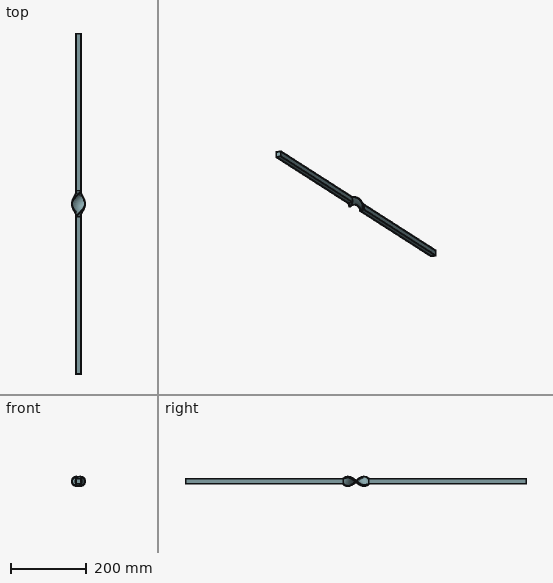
import cadquery as cq

BAR_LENGTH = 900.0
BAR_SIDE = 14.0

LEAF_HALF_LENGTH = 34.0
LEAF_WIDTH = 35.0
LEAF_THICKNESS = 3.5
HALF_TWIST = 90.0
WIDTH_POWER = 2
THICKNESS_POWER = 3
STATIONS_PER_HALF = 3


def blended_size(middle_size, position, power):
    """Size that equals middle_size at position 0 and the bar side at positions -1 and 1."""
    return middle_size + (BAR_SIDE - middle_size) * abs(position) ** power


def leaf_section(position):
    """Turned rectangular wire at a position from -1 to 1 along the leaf (0 is its flat middle)."""
    width = blended_size(LEAF_WIDTH, position, WIDTH_POWER)
    thickness = blended_size(LEAF_THICKNESS, position, THICKNESS_POWER)
    upright_plane = cq.Plane(
        origin=(0, position * LEAF_HALF_LENGTH, 0),
        xDir=(-1, 0, 0),
        normal=(0, 1, 0),
    )
    turned_plane = upright_plane.rotated((0, 0, position * HALF_TWIST))
    return cq.Workplane(turned_plane).rect(width, thickness).wires().val()


def twisted_leaf():
    """Smooth loft through the turning sections from one arm to the other."""
    stations = range(-STATIONS_PER_HALF, STATIONS_PER_HALF + 1)
    sections = [leaf_section(station / STATIONS_PER_HALF) for station in stations]
    return cq.Workplane(cq.Solid.makeLoft(sections))


def bar_arm(side):
    """Plain square arm from one end of the leaf to the end of the bar; side is -1 or 1."""
    arm_length = BAR_LENGTH / 2 - LEAF_HALF_LENGTH
    middle = side * (LEAF_HALF_LENGTH + arm_length / 2)
    return cq.Workplane("XY").box(BAR_SIDE, arm_length, BAR_SIDE).translate((0, middle, 0))


result = twisted_leaf()
for side in (-1, 1):
    result = result.union(bar_arm(side))